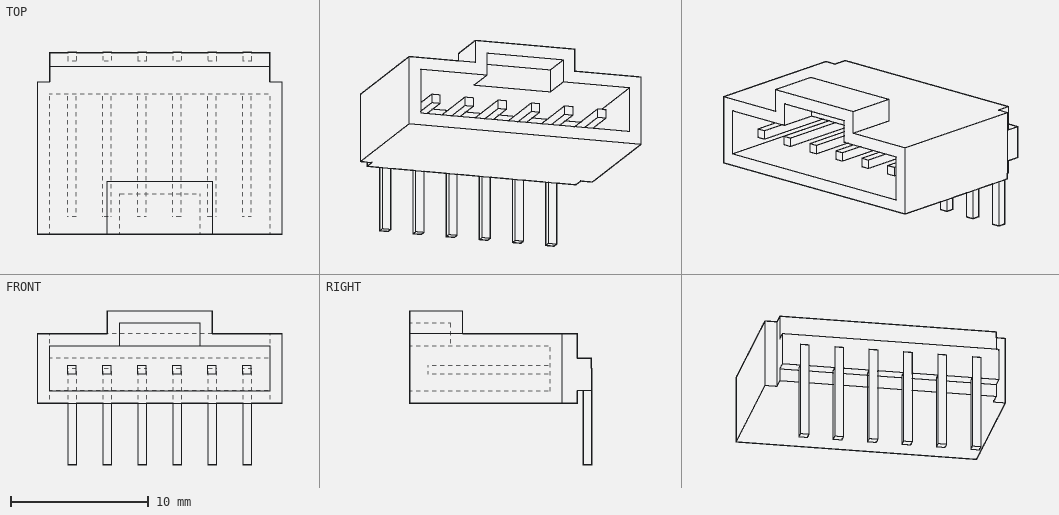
import cadquery as cq

width = 17.78
height = 5.07
wall = 0.89
shoulder_depth = 11.08
housing_depth = 12.18
cavity_depth = shoulder_depth - wall
inner_width = width - 2 * wall
cavity_height = height - 2 * wall

key_width = 7.63
key_depth = 3.84
key_height = 1.65
channel_width = key_width - 2 * wall
channel_depth = key_depth - wall

ledge_bottom = 0.92
ledge_height = 2.36
ledge_back = 13.2

pin_count = 6
pin_pitch = 2.55
pin_size = 0.64
pin_tip = 1.32
pin_bottom = 2.12
pin_shift = -0.04
pin_back = (cavity_depth + housing_depth) / 2
tail_back = 13.23
tail_length = 4.46
tail_top = 2.55


def block(x_size, y_start, y_end, z_start, z_end, x_center=0):
    """Box centred on x_center between the given Y and Z limits."""
    size = (x_size, y_end - y_start, z_end - z_start)
    corner = (x_center - x_size / 2, y_start, z_start)
    return cq.Workplane("XY").box(*size, centered=False).translate(corner)


def make_housing():
    key_top = height + key_height
    shell = block(width, 0, shoulder_depth, 0, height)
    shell = shell.union(block(inner_width, 0, housing_depth, 0, height))
    shell = shell.union(block(key_width, 0, key_depth, 0, key_top))
    ledge_top = ledge_bottom + ledge_height
    shell = shell.union(block(inner_width, cavity_depth, ledge_back, ledge_bottom, ledge_top))

    cavity = block(inner_width, 0, cavity_depth, wall, wall + cavity_height)
    channel = block(channel_width, 0, channel_depth, wall, key_top - wall)
    return shell.cut(cavity).cut(channel)


def make_contact(x):
    """Mating pin anchored in the rear wall, and the solder tail below it."""
    pin = block(pin_size, pin_tip, pin_back, pin_bottom, pin_bottom + pin_size, x + pin_shift)
    tail = block(pin_size, tail_back - pin_size, tail_back, -tail_length, tail_top, x)
    return pin, tail


result = make_housing()
for index in range(pin_count):
    pin_x = (index - (pin_count - 1) / 2) * pin_pitch
    for piece in make_contact(pin_x):
        result = result.union(piece)